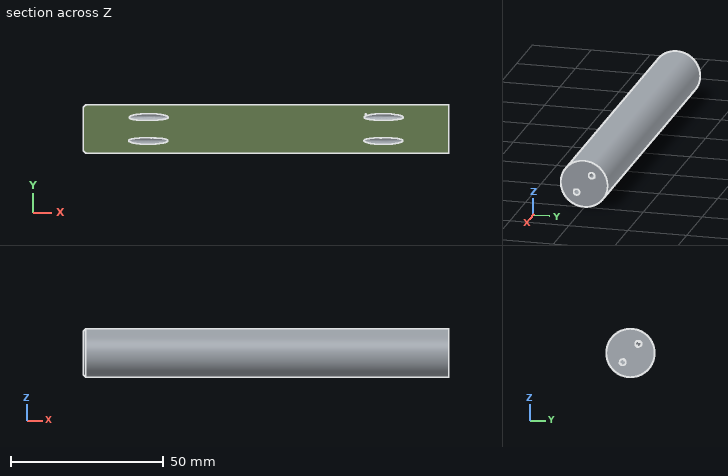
import cadquery as cq
import math

length = 120.0
diameter = 16.0
end_chamfer = 0.8

channel_count = 2
hole_diameter = 2.0
hole_circle_diameter = 7.9
start_angle = 130.0
helix_angle = 18.0

pitch = math.pi * diameter / math.tan(math.radians(helix_angle))
twist = 360 * length / pitch


def make_bar():
    """Cylinder along X, centred on the origin, chamfered at its -X end."""
    bar = cq.Workplane("YZ").circle(diameter / 2).extrude(length / 2, both=True)
    return bar.faces("<X").chamfer(end_chamfer)


def make_channel(angle):
    """Channel of round cross-section twisting about the X axis from the -X face."""
    axis_start = cq.Vector(-length / 2, 0, 0)
    offset_y = hole_circle_diameter / 2 * math.cos(math.radians(angle))
    offset_z = hole_circle_diameter / 2 * math.sin(math.radians(angle))
    centre = axis_start + cq.Vector(0, offset_y, offset_z)
    section = cq.Wire.makeCircle(hole_diameter / 2, centre, cq.Vector(1, 0, 0))
    return cq.Workplane(
        cq.Solid.extrudeLinearWithRotation(section, [], axis_start, cq.Vector(length, 0, 0), twist)
    )


result = make_bar()
for index in range(channel_count):
    channel_angle = start_angle + index * 360 / channel_count
    result = result.cut(make_channel(channel_angle))